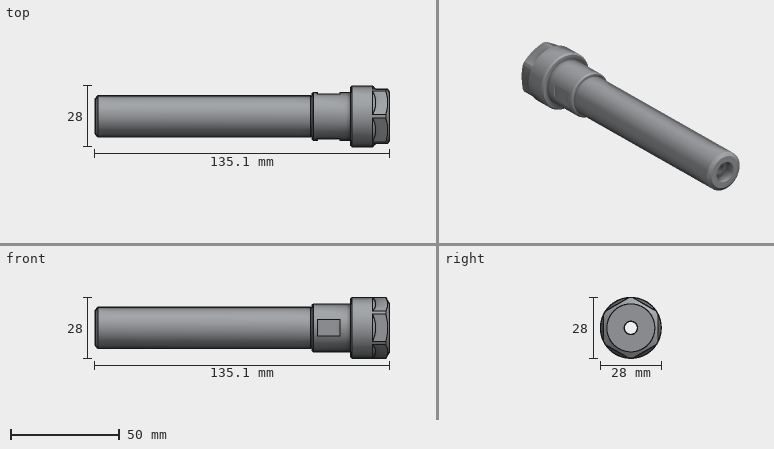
import cadquery as cq
import math

total_length = 135.1
neck_start = 98.9
collar_start = 99.6
nut_start = 117.3
hex_start = 127.3

shank_diameter = 19.0
shank_chamfer_length = 1.2
shank_face_diameter = 15.8
neck_diameter = 18.5
collar_diameter = 22.0
collar_chamfer = 0.5
through_bore_diameter = 6.0
rear_bore_diameter = 10.0
rear_bore_depth = 5.0

flat_start = 102.0
flat_length = 10.3
flats_across = 20.7

nut_diameter = 28.0
nut_rear_chamfer = 0.7
hex_across_flats = 25.0
nut_face_diameter = 22.0
nut_face_chamfer_length = (nut_diameter - nut_face_diameter) / 2 * math.tan(math.radians(30))


def revolve_about_x(profile):
    """Turn a closed (x, radius) outline around the X axis."""
    return cq.Workplane("XY").polyline(profile).close().revolve(360, (0, 0, 0), (1, 0, 0))


def cylinder(diameter, start, end):
    """Solid cylinder on the X axis between two stations."""
    return cq.Workplane("YZ").workplane(offset=start).circle(diameter / 2).extrude(end - start)


def make_holder():
    """Shank, neck and collar; the collar seats in the nut up to the hexagon."""
    collar_radius = collar_diameter / 2
    holder = revolve_about_x([
        (0, 0),
        (0, shank_face_diameter / 2),
        (shank_chamfer_length, shank_diameter / 2),
        (neck_start, shank_diameter / 2),
        (neck_start, neck_diameter / 2),
        (collar_start, neck_diameter / 2),
        (collar_start, collar_radius - collar_chamfer),
        (collar_start + collar_chamfer, collar_radius),
        (hex_start, collar_radius),
        (hex_start, 0),
    ])

    holder = holder.cut(cylinder(through_bore_diameter, 0, hex_start))
    holder = holder.cut(cylinder(rear_bore_diameter, 0, rear_bore_depth))

    for side in (-1, 1):
        flat_cutter = cq.Workplane("XY").box(flat_length, collar_diameter, collar_diameter)
        flat_cutter = flat_cutter.translate(
            (flat_start + flat_length / 2, side * (flats_across + collar_diameter) / 2, 0)
        )
        holder = holder.cut(flat_cutter)
    return holder


def make_nut():
    """Round nut with a hexagonal front end, seated over the collar."""
    nut_radius = nut_diameter / 2
    blank = revolve_about_x([
        (nut_start, 0),
        (nut_start, nut_radius - nut_rear_chamfer),
        (nut_start + nut_rear_chamfer, nut_radius),
        (total_length - nut_face_chamfer_length, nut_radius),
        (total_length, nut_face_diameter / 2),
        (total_length, 0),
    ])

    corner_radius = hex_across_flats / math.sqrt(3)
    corners = [
        (corner_radius * math.sin(math.radians(60 * i)), corner_radius * math.cos(math.radians(60 * i)))
        for i in range(6)
    ]
    hexagon = (
        cq.Workplane("YZ").workplane(offset=nut_start).polyline(corners).close()
        .extrude(total_length - nut_start)
    )
    shouldered_round = revolve_about_x([
        (nut_start, 0),
        (nut_start, nut_radius),
        (hex_start, nut_radius),
        (hex_start + nut_radius, 0),
    ])
    nut = blank.intersect(hexagon.union(shouldered_round))

    nut = nut.cut(cylinder(collar_diameter, nut_start, hex_start))
    return nut.cut(cylinder(through_bore_diameter, hex_start, total_length))


holder = make_holder()
nut = make_nut()
result = cq.Compound.makeCompound([holder.val(), nut.val()])